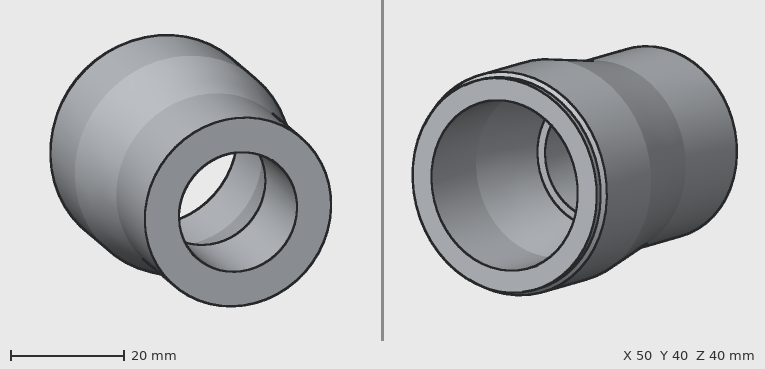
import cadquery as cq

length = 50.0

collar_diameter = 38.42
socket_diameter = 40.0
spigot_diameter = 34.5

socket_bore_diameter = 30.5
throat_diameter = 25.0
spigot_bore_diameter = 21.83

collar_length = 1.33
outer_taper_start = 17.0
socket_bore_depth = 15.0

taper_length = 16.0
outer_taper_end = outer_taper_start + taper_length
throat_position = socket_bore_depth + taper_length

collar_radius = collar_diameter / 2
socket_radius = socket_diameter / 2
spigot_radius = spigot_diameter / 2
socket_bore_radius = socket_bore_diameter / 2
throat_radius = throat_diameter / 2
spigot_bore_radius = spigot_bore_diameter / 2

chamfer_end = collar_length + socket_radius - collar_radius


def solid_of_revolution(profile):
    """Solid turned about the X axis from (x, radius) points, closed along the axis."""
    start_x = profile[0][0]
    end_x = profile[-1][0]
    outline = [(start_x, 0)] + profile + [(end_x, 0)]
    return cq.Workplane("XZ").polyline(outline).close().revolve(360, (0, 0, 0), (1, 0, 0))


def outer_body():
    """Collar, chamfered socket body, conical reducer and spigot."""
    return solid_of_revolution([
        (0, collar_radius),
        (collar_length, collar_radius),
        (chamfer_end, socket_radius),
        (outer_taper_start, socket_radius),
        (outer_taper_end, spigot_radius),
        (length, spigot_radius),
    ])


def bore():
    """Socket bore, conical throat, flat ledge and narrow through bore."""
    return solid_of_revolution([
        (0, socket_bore_radius),
        (socket_bore_depth, socket_bore_radius),
        (throat_position, throat_radius),
        (throat_position, spigot_bore_radius),
        (length, spigot_bore_radius),
    ])


result = outer_body().cut(bore())